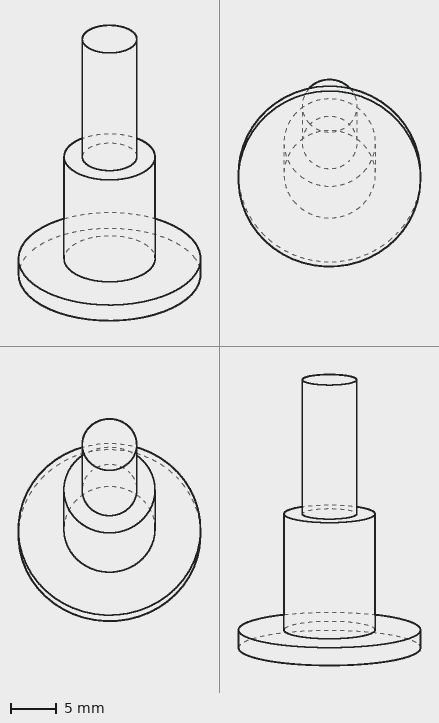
import cadquery as cq

total_height = 30.0
flange_thickness = 2.0
pin_length = total_height / 2
body_length = total_height - flange_thickness - pin_length

flange_diameter = 20.0
body_diameter = flange_diameter / 2
pin_diameter = 6.0

flange = cq.Workplane("XY").circle(flange_diameter / 2).extrude(flange_thickness)

with_body = flange.faces(">Z").workplane().circle(body_diameter / 2).extrude(body_length)

result = with_body.faces(">Z").workplane().circle(pin_diameter / 2).extrude(pin_length)